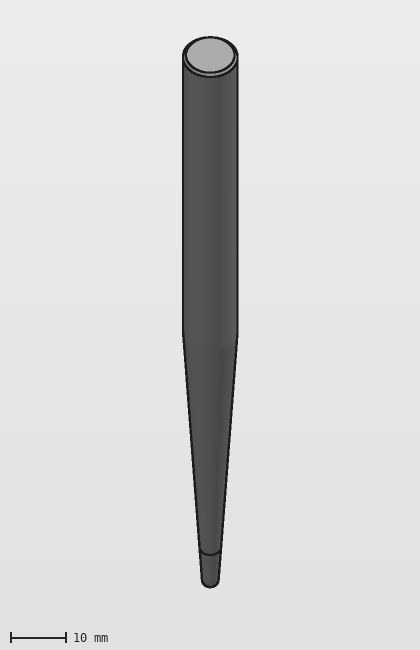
import cadquery as cq
import math

total_length = 140
shank_diameter = 10.0
end_chamfer = 0.5
ball_diameter = 3.1
cutting_length = 10.0
taper_length = 67.0
blend_length = 0.4

shank_radius = shank_diameter / 2
ball_radius = ball_diameter / 2

height_above_ball_centre = taper_length - ball_radius
distance_to_ball_centre = math.hypot(shank_radius, height_above_ball_centre)
taper_half_angle = (
    math.atan2(shank_radius, height_above_ball_centre)
    - math.asin(ball_radius / distance_to_ball_centre)
)


def taper_radius(height):
    """Radius of the cone at a height above the tip."""
    return shank_radius - (taper_length - height) * math.tan(taper_half_angle)


joint_radius = taper_radius(cutting_length)


def revolve_about_axis(profile):
    """Turn a closed half-profile in the XZ plane into a solid about Z."""
    return profile.revolve(360, (0, 0, 0), (0, 1, 0))


def make_cutting_head():
    """Ball nose running tangentially into the cutting cone."""
    cone_start_height = ball_radius * (1 - math.sin(taper_half_angle))
    cone_start_radius = ball_radius * math.cos(taper_half_angle)
    mid_arc_angle = (math.pi / 2 - taper_half_angle) / 2
    arc_middle = (
        ball_radius * math.sin(mid_arc_angle),
        ball_radius * (1 - math.cos(mid_arc_angle)),
    )
    profile = (
        cq.Workplane("XZ")
        .moveTo(0, 0)
        .threePointArc(arc_middle, (cone_start_radius, cone_start_height))
        .lineTo(joint_radius, cutting_length)
        .lineTo(0, cutting_length)
        .close()
    )
    return revolve_about_axis(profile)


def make_shank():
    """Tapered neck blended into a chamfered cylindrical shank."""
    blend_start_height = taper_length - blend_length * math.cos(taper_half_angle)
    profile = (
        cq.Workplane("XZ")
        .moveTo(0, cutting_length)
        .lineTo(joint_radius, cutting_length)
        .lineTo(taper_radius(blend_start_height), blend_start_height)
        .tangentArcPoint((shank_radius, taper_length + blend_length), relative=False)
        .lineTo(shank_radius, total_length - end_chamfer)
        .lineTo(shank_radius - end_chamfer, total_length)
        .lineTo(0, total_length)
        .close()
    )
    return revolve_about_axis(profile)


cutting_head = make_cutting_head()
shank = make_shank()
result = cq.Compound.makeCompound([cutting_head.val(), shank.val()])